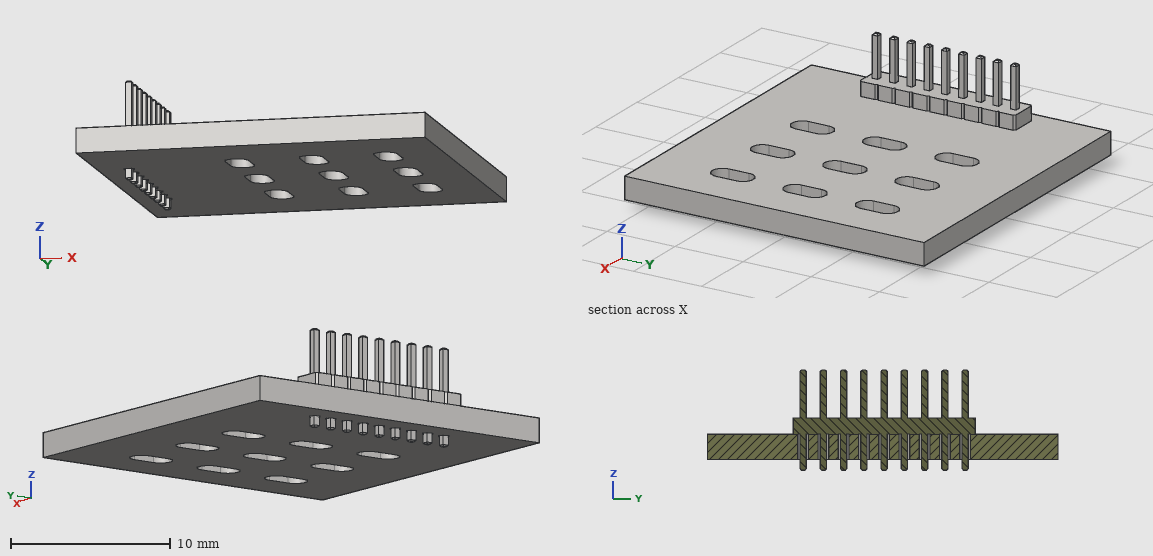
import cadquery as cq

BOARD_LENGTH = 22.5
BOARD_WIDTH = 22.0
BOARD_THICKNESS = 1.6

SLOT_LENGTH = 3.0
SLOT_WIDTH = 1.5
SLOT_COLUMNS = 3
SLOT_ROWS = 3
SLOT_PITCH_X = 4.8
SLOT_PITCH_Y = 5.3
SLOT_GRID_X = 14.0
SLOT_GRID_Y = BOARD_WIDTH / 2

PIN_COUNT = 9
BASE_LENGTH = 11.43
PIN_PITCH = BASE_LENGTH / PIN_COUNT
HEADER_X = 2.0
HEADER_OFFSET_Y = 0.1
HEADER_Y = BOARD_WIDTH / 2 + HEADER_OFFSET_Y

BASE_WIDTH = 2.1
BASE_HEIGHT = 1.01
BASE_CHAMFER = 0.124

PIN_SIDE = 0.4
PIN_LENGTH = 6.3
PIN_BELOW_BOARD = 0.68
PIN_TIP_CHAMFER = 0.1

PIN_HOLE_DIAMETER = 0.65

pin_positions = [
    (HEADER_X, HEADER_Y + (index - (PIN_COUNT - 1) / 2) * PIN_PITCH)
    for index in range(PIN_COUNT)
]


def make_board():
    """Flat board with a grid of slots and a row of pin holes."""
    plate = cq.Workplane("XY").box(
        BOARD_LENGTH, BOARD_WIDTH, BOARD_THICKNESS, centered=False
    )
    slots = (
        cq.Workplane("XY")
        .center(SLOT_GRID_X, SLOT_GRID_Y)
        .rarray(SLOT_PITCH_X, SLOT_PITCH_Y, SLOT_COLUMNS, SLOT_ROWS)
        .slot2D(SLOT_LENGTH, SLOT_WIDTH, angle=90)
        .extrude(BOARD_THICKNESS)
    )
    pin_holes = (
        cq.Workplane("XY")
        .pushPoints(pin_positions)
        .circle(PIN_HOLE_DIAMETER / 2)
        .extrude(BOARD_THICKNESS)
    )
    return plate.cut(slots).cut(pin_holes)


def make_base_block(x, y):
    """Block for one pin; its chamfered upright edges form V-notches between neighbours."""
    return (
        cq.Workplane("XY")
        .box(BASE_WIDTH, PIN_PITCH, BASE_HEIGHT, centered=(True, True, False))
        .edges("|Z")
        .chamfer(BASE_CHAMFER)
        .translate((x, y, BOARD_THICKNESS))
    )


def make_pin(x, y):
    """Square pin with both ends tapered."""
    return (
        cq.Workplane("XY")
        .box(PIN_SIDE, PIN_SIDE, PIN_LENGTH, centered=(True, True, False))
        .faces("<Z or >Z")
        .chamfer(PIN_TIP_CHAMFER)
        .translate((x, y, -PIN_BELOW_BOARD))
    )


def make_header():
    """Row of base blocks and their pins, joined into one solid."""
    header = cq.Workplane("XY")
    for x, y in pin_positions:
        header = header.union(make_base_block(x, y)).union(make_pin(x, y))
    return header


board = make_board()
header = make_header()

result = cq.Compound.makeCompound([board.val(), header.solids().val()])